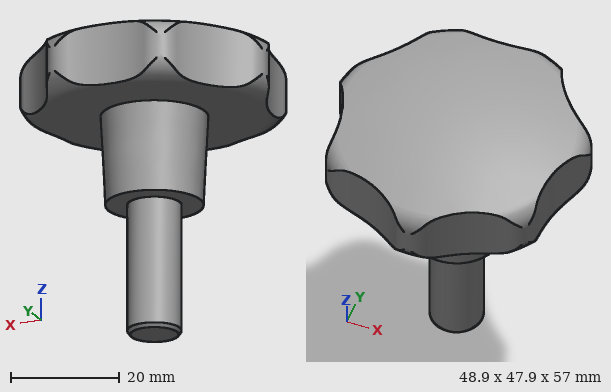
import cadquery as cq
import math

total_height = 57.0

lobe_count = 7
head_radius = 25.0
head_height = 14.95
edge_round = 4.0
dome_rise = 3.55
dome_edge_radius = 22.25
lobe_tip_radius = 4.0
valley_radius = 21.3

hub_bottom = -32.0
hub_top_radius = 9.9
hub_bottom_radius = 9.05
stud_radius = 5.0
stud_chamfer = 0.55
stud_chamfer_height = 0.75


def polar(radius, angle):
    """Point at a distance from the axis, with the angle in radians."""
    return (radius * math.cos(angle), radius * math.sin(angle))


def toward(start, end, distance):
    """Point at a distance from start along the line to end."""
    fraction = distance / math.dist(start, end)
    return tuple(a + (b - a) * fraction for a, b in zip(start, end))


def make_head_blank():
    """Domed disc whose dome and underside blend into the rim."""
    dome_radius = (dome_edge_radius**2 + dome_rise**2) / (2 * dome_rise)
    dome_centre = (0, -dome_radius)

    round_x = head_radius - edge_round
    round_z = math.sqrt((dome_radius - edge_round) ** 2 - round_x**2) - dome_radius
    round_centre = (round_x, round_z)
    dome_end = toward(dome_centre, round_centre, dome_radius)
    dome_angle = math.asin(dome_end[0] / dome_radius) / 2
    dome_middle = (dome_radius * math.sin(dome_angle), dome_radius * (math.cos(dome_angle) - 1))
    round_start_angle = math.atan2(dome_end[1] - round_z, dome_end[0] - round_x)
    round_offset = polar(edge_round, round_start_angle / 2)
    round_middle = (round_x + round_offset[0], round_z + round_offset[1])

    lower_round_z = edge_round - head_height
    lower_offset = edge_round * math.sqrt(0.5)
    return (
        cq.Workplane("XZ")
        .moveTo(0, 0)
        .threePointArc(dome_middle, dome_end)
        .threePointArc(round_middle, (head_radius, round_z))
        .lineTo(head_radius, lower_round_z)
        .threePointArc((round_x + lower_offset, lower_round_z - lower_offset), (round_x, -head_height))
        .lineTo(0, -head_height)
        .close()
        .revolve(360, (0, 0, 0), (0, 1, 0))
    )


def make_lobe_prism():
    """Star outline of rounded lobes and tangent concave flutes."""
    half_pitch = math.pi / lobe_count
    tip_distance = head_radius - lobe_tip_radius

    flute_radius = (
        tip_distance**2 + valley_radius**2 - lobe_tip_radius**2
        - 2 * tip_distance * valley_radius * math.cos(half_pitch)
    ) / (2 * (lobe_tip_radius - valley_radius + tip_distance * math.cos(half_pitch)))
    flute_distance = valley_radius + flute_radius

    def tangent_point(lobe_angle, side):
        tip_centre = polar(tip_distance, lobe_angle)
        flute_centre = polar(flute_distance, lobe_angle + side * half_pitch)
        return toward(tip_centre, flute_centre, lobe_tip_radius)

    first_lobe = -math.pi / 2
    outline = cq.Workplane("XY").workplane(offset=-head_height).moveTo(*tangent_point(first_lobe, -1))
    for index in range(lobe_count):
        lobe_angle = first_lobe + 2 * half_pitch * index
        next_lobe = lobe_angle + 2 * half_pitch
        outline = outline.threePointArc(polar(head_radius, lobe_angle), tangent_point(lobe_angle, 1))
        flute_end = tangent_point(next_lobe, -1)
        outline = outline.threePointArc(polar(valley_radius, lobe_angle + half_pitch), flute_end)
    return outline.close().extrude(head_height)


def make_stem():
    """Tapered hub followed by a plain stud with a chamfered end."""
    stem_top = -head_height / 2
    return (
        cq.Workplane("XZ")
        .polyline([
            (0, stem_top),
            (hub_top_radius, stem_top),
            (hub_top_radius, -head_height),
            (hub_bottom_radius, hub_bottom),
            (stud_radius, hub_bottom),
            (stud_radius, stud_chamfer_height - total_height),
            (stud_radius - stud_chamfer, -total_height),
            (0, -total_height),
        ])
        .close()
        .revolve(360, (0, 0, 0), (0, 1, 0))
    )


head = make_head_blank().intersect(make_lobe_prism())
result = head.union(make_stem())